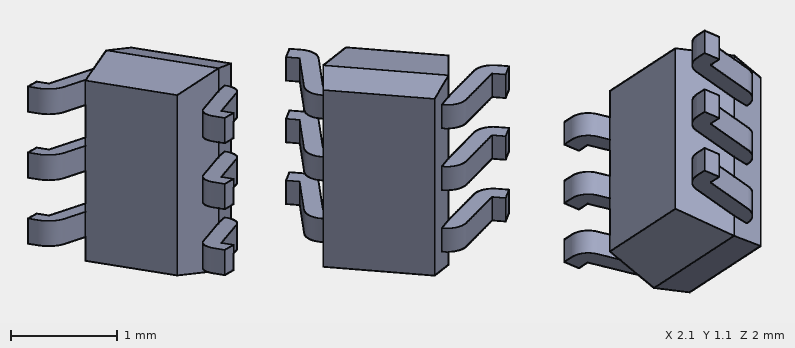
import cadquery as cq
import math

overall_width = 2.1
housing_width = 1.2
housing_height = 2.0
housing_depth = 1.0
back_half_depth = 0.378
front_half_depth = housing_depth - back_half_depth
draft_angle = 10.0
standoff = 0.1
parting_y = standoff + front_half_depth

leads_per_side = 3
lead_pitch = 0.65
lead_width = 0.25
lead_thickness = 0.178
lead_lean = 14.0
bend_radius = 0.2


def make_housing_half(depth, toward_back):
    """Tapered block that grows from the parting plane toward +Y or -Y."""
    direction = 1 if toward_back else -1
    parting_plane = cq.Plane(origin=(0, parting_y, 0), xDir=(1, 0, 0), normal=(0, direction, 0))
    return (
        cq.Workplane(parting_plane)
        .rect(housing_width, housing_height)
        .extrude(depth, taper=draft_angle)
    )


def make_left_lead(center_z):
    """Z-bent lead: a foot, a sloping leg and a short end lying on the back half's side."""
    lean = math.radians(lead_lean)
    tip_x = -overall_width / 2
    knee_x = -housing_width / 2
    knee_y = parting_y
    top_y = knee_y + lead_thickness
    top_end_x = knee_x + lead_thickness * math.tan(math.radians(draft_angle))

    leg_rise = knee_y - lead_thickness
    leg_run = (lead_thickness + leg_rise * math.sin(lean)) / math.cos(lean)
    heel_x = knee_x - leg_run
    corner_offset = lead_thickness * math.tan((math.pi / 2 - lean) / 2)
    lower_corner = (heel_x + corner_offset, 0)
    upper_corner = (knee_x - corner_offset, top_y)

    outline = [
        (tip_x, 0),
        lower_corner,
        (knee_x, knee_y),
        (top_end_x, top_y),
        upper_corner,
        (heel_x, lead_thickness),
        (tip_x, lead_thickness),
    ]
    lead = (
        cq.Workplane("XY", origin=(0, 0, center_z))
        .polyline(outline)
        .close()
        .extrude(lead_width / 2, both=True)
    )
    for corner_x, corner_y in (lower_corner, upper_corner):
        bend_edge = cq.NearestToPointSelector((corner_x, corner_y, center_z))
        lead = lead.edges(bend_edge).fillet(bend_radius)
    return lead


back_half = make_housing_half(back_half_depth, toward_back=True)
front_half = make_housing_half(front_half_depth, toward_back=False)

leads = []
for index in range(leads_per_side):
    lead_z = (index - (leads_per_side - 1) / 2) * lead_pitch
    left_lead = make_left_lead(lead_z)
    right_lead = left_lead.mirror("YZ")
    leads.append(left_lead.val())
    leads.append(right_lead.val())

result = cq.Compound.makeCompound([back_half.val(), front_half.val(), *leads])